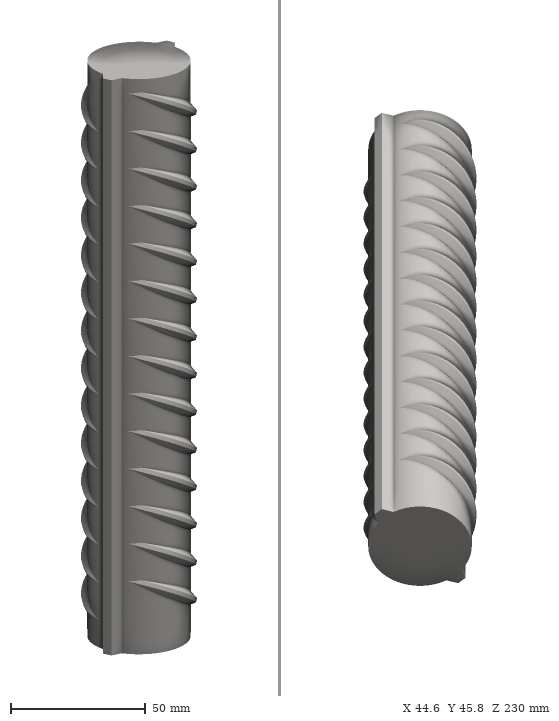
import cadquery as cq

length = 230.0
core_radius = 19.3

rib_span = 45.8
rib_tip_y = rib_span / 2
rib_tip_width = 3.7
rib_base_width = 8.7
rib_root_y = 18.5

lug_count = 14
first_lug_z = 20.0
last_lug_z = 215.0
lug_pitch = (last_lug_z - first_lug_z) / (lug_count - 1)
lug_slant = 28.5
lug_reach = 22.3
lug_center_x = 1.4
lug_crest_width = 1.5
lug_base_width = 5.8
lug_inner_radius = 11.5

half_turn = 180.0


def straight_ribs():
    """Trapezoidal ribs running the full length on two opposite sides."""
    profile = [
        (-rib_base_width / 2, 0),
        (rib_base_width / 2, 0),
        (rib_base_width / 2, rib_root_y),
        (rib_tip_width / 2, rib_tip_y),
        (-rib_tip_width / 2, rib_tip_y),
        (-rib_base_width / 2, rib_root_y),
    ]
    rib = cq.Workplane("XY").polyline(profile).close().extrude(length)
    return rib.union(rib.mirror("XZ"))


def slanted_lug():
    """Crescent lug on the +X side: half a tapered ring, tilted about the X axis."""
    crest_radius = lug_reach - lug_center_x
    core_surface_radius = core_radius - lug_center_x
    half_crest = lug_crest_width / 2
    half_base = lug_base_width / 2
    profile = [
        (lug_inner_radius, -half_base),
        (core_surface_radius, -half_base),
        (crest_radius, -half_crest),
        (crest_radius, half_crest),
        (core_surface_radius, half_base),
        (lug_inner_radius, half_base),
    ]
    ring = cq.Workplane("XZ").polyline(profile).close().revolve(half_turn, (0, 0), (0, 1))
    centered = ring.rotate((0, 0, 0), (0, 0, 1), -half_turn / 2)
    return centered.rotate((0, 0, 0), (1, 0, 0), -lug_slant).translate((lug_center_x, 0, 0))


result = cq.Workplane("XY").circle(core_radius).extrude(length).union(straight_ribs())

lug = slanted_lug()
opposite_lug = lug.rotate((0, 0, 0), (0, 0, 1), half_turn)
for index in range(lug_count):
    lug_z = first_lug_z + index * lug_pitch
    for side_lug in (lug, opposite_lug):
        result = result.union(side_lug.translate((0, 0, lug_z)))